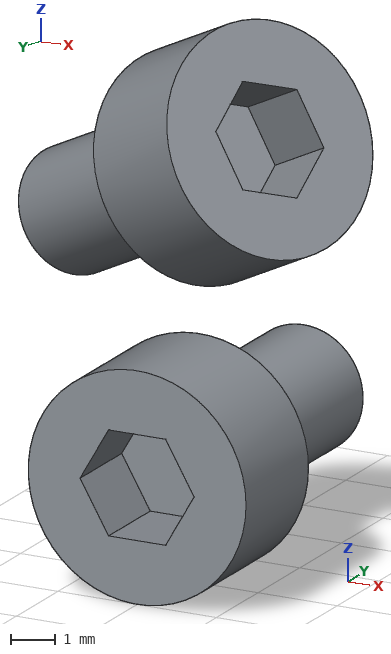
import cadquery as cq
import math

total_length = 8.0
shank_diameter = 3.0
head_height = shank_diameter
shank_length = total_length - head_height
head_diameter = 5.5

socket_across_flats = 2.5
socket_across_corners = socket_across_flats / math.cos(math.radians(30))
socket_depth = 2.0


def cylinder_along_y(diameter, start, end):
    """Solid cylinder about the Y axis between two Y positions."""
    base = cq.Workplane("XZ", origin=(0, start, 0))
    return base.circle(diameter / 2).extrude(start - end)


def hex_socket():
    """Hexagonal cutter that enters from the front face of the head."""
    mouth = cq.Workplane("XZ", origin=(0, -head_height, 0))
    return mouth.polygon(6, socket_across_corners).extrude(-socket_depth)


head = cylinder_along_y(head_diameter, -head_height, 0)
shank = cylinder_along_y(shank_diameter, 0, shank_length)
result = head.union(shank).cut(hex_socket())